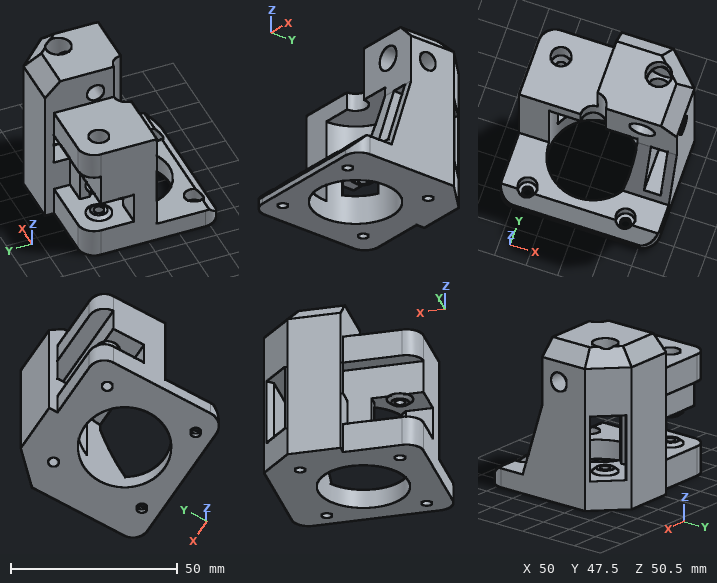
import cadquery as cq
import math

BORE_DIAMETER = 28.0
SHAFT_DIAMETER = 8.0
BORE_TOP = 33.05
SCREW_OFFSET = 15.5
SCREW_DIAMETER = 3.2

HALF_WIDTH = 23.55
CORNER_RADIUS = 5.25
FRONT_Y = -21.05
BLOCK_REACH = 26.45
BLOCK_CORNER_CHAMFER = 10.0
TOP_CHAMFER = 5.0

BASE_TOP = 6.15
COLUMN_TOP = 38.9
BLOCK_TOP = 50.5
FRONT_CHAMFER = 4.0

POCKET_FLOOR = 9.45
LEFT_POCKET_TOP = 19.7
RIGHT_POCKET_TOP = 30.15
POCKET_SIZE = 16.05
DIAGONAL_SLOT_WIDTH = 10.9
BOSS_BASE_DIAMETER = 8.0
BOSS_TIP_DIAMETER = 5.25
BOSS_HEIGHT = 1.05
SLOT_WIDTH = 5.25

WEDGE_DEPTH = 7.45

HEAD_DIAMETER = 6.0
HEAD_SEAT = 2.0
ACCESS_DIAMETER = 6.2
ACCESS_CONE_TOP = 31.8

PASSAGE_DIAMETER = 8.0
PASSAGE_Z = 42.35
PASSAGE_END_Y = 19.7
SIDE_HOLE_DIAMETER = 5.6
SIDE_HOLE_Y = 9.95
SIDE_HOLE_END_X = 20.2
OUTER_HOLE_DIAMETER = 6.0
OUTER_HOLE_Y = 6.45
OUTER_HOLE_Z = 39.0
OUTER_HOLE_END_X = 19.95

SLOT_START = HALF_WIDTH - SLOT_WIDTH
POCKET_NEAR = HALF_WIDTH - POCKET_SIZE


def box(x0, x1, y0, y1, z0, z1):
    return cq.Workplane("XY").box(x1 - x0, y1 - y0, z1 - z0, centered=False).translate((x0, y0, z0))


def cylinder(diameter, x, y, z0, z1):
    return cq.Workplane("XY", origin=(x, y, z0)).circle(diameter / 2).extrude(z1 - z0)


def cone(x, y, z0, diameter0, z1, diameter1):
    lower = cq.Workplane("XY", origin=(x, y, z0)).circle(diameter0 / 2)
    return lower.workplane(offset=z1 - z0).circle(diameter1 / 2).loft(ruled=True)


def make_base():
    """Motor flange with rounded corners and a bevelled front edge."""
    base = box(-HALF_WIDTH, BLOCK_REACH, FRONT_Y, 0, 0, BASE_TOP)
    base = base.edges("|Z and <Y").fillet(CORNER_RADIUS)
    bevel = (
        cq.Workplane("YZ", origin=(-HALF_WIDTH, 0, 0))
        .polyline([
            (FRONT_Y, BASE_TOP),
            (FRONT_Y + FRONT_CHAMFER, BASE_TOP),
            (FRONT_Y, BASE_TOP - FRONT_CHAMFER),
        ])
        .close()
        .extrude(HALF_WIDTH + BLOCK_REACH)
    )
    return base.cut(bevel)


def make_column():
    """Lower column at -X with a rounded rear corner."""
    column = box(-HALF_WIDTH, 0, 0, HALF_WIDTH, 0, COLUMN_TOP)
    return column.edges("|Z and <X and >Y").fillet(CORNER_RADIUS)


def make_block():
    """Tall block at +X with a cut rear corner and bevelled outer top edges."""
    block = box(0, BLOCK_REACH, 0, BLOCK_REACH, 0, BLOCK_TOP)
    block = block.edges("|Z and >X and >Y").chamfer(BLOCK_CORNER_CHAMFER)
    outer_edges = block.faces(">Z").edges(">X or >Y or (not (|X or |Y))")
    return outer_edges.chamfer(TOP_CHAMFER)


def make_rib():
    """Sloping rib that braces the block against the base."""
    return (
        cq.Workplane("YZ")
        .polyline([(0, BASE_TOP), (-WEDGE_DEPTH, BASE_TOP), (0, RIGHT_POCKET_TOP)])
        .close()
        .extrude(BLOCK_REACH)
    )


def make_pocket(side, top):
    """Screw pocket on one side (-1 or +1): a square room joined to a diagonal slot."""
    height = top - POCKET_FLOOR
    center = POCKET_NEAR + POCKET_SIZE / 2
    room = (
        cq.Workplane("XY", origin=(side * center, center, POCKET_FLOOR))
        .rect(POCKET_SIZE, POCKET_SIZE)
        .extrude(height)
    )
    slot_length = BLOCK_REACH * math.sqrt(2)
    slot = (
        cq.Workplane("XY")
        .rect(slot_length, DIAGONAL_SLOT_WIDTH)
        .extrude(height)
        .translate((slot_length / 2, 0, POCKET_FLOOR))
        .rotate((0, 0, 0), (0, 0, 1), 90 - side * 45)
    )
    return room.union(slot)


def make_bosses(side, top):
    """Pair of conical bosses around the screw, on the floor and the ceiling of a pocket."""
    x = side * SCREW_OFFSET
    tip = POCKET_FLOOR + BOSS_HEIGHT
    lower = cone(x, SCREW_OFFSET, POCKET_FLOOR, BOSS_BASE_DIAMETER, tip, BOSS_TIP_DIAMETER)
    upper = cone(x, SCREW_OFFSET, top - BOSS_HEIGHT, BOSS_TIP_DIAMETER, top, BOSS_BASE_DIAMETER)
    return lower.union(upper)


def cut_side_slots(part):
    """Slots running in from the front of the rib and from the outer side of the column."""
    rib_slot = box(SLOT_START, HALF_WIDTH, -WEDGE_DEPTH, POCKET_NEAR, POCKET_FLOOR, RIGHT_POCKET_TOP)
    low_strip = box(-HALF_WIDTH, 0, SLOT_START, HALF_WIDTH, POCKET_FLOOR, LEFT_POCKET_TOP)
    high_strip = box(-HALF_WIDTH, POCKET_NEAR, SLOT_START, HALF_WIDTH, LEFT_POCKET_TOP, RIGHT_POCKET_TOP)
    return part.cut(rib_slot).cut(low_strip).cut(high_strip)


def cut_screw_holes(part):
    """Four motor screws: sunk heads in front, deep tapered driver access at the rear."""
    for side in (-1, 1):
        x = side * SCREW_OFFSET
        for y in (-SCREW_OFFSET, SCREW_OFFSET):
            part = part.cut(cylinder(SCREW_DIAMETER, x, y, 0, PASSAGE_Z))
        part = part.cut(cylinder(HEAD_DIAMETER, x, -SCREW_OFFSET, HEAD_SEAT, BASE_TOP))
        access_top = PASSAGE_Z if side > 0 else COLUMN_TOP
        taper = (ACCESS_DIAMETER - SCREW_DIAMETER) / 2
        part = part.cut(cylinder(ACCESS_DIAMETER, x, SCREW_OFFSET, ACCESS_CONE_TOP, access_top))
        part = part.cut(
            cone(x, SCREW_OFFSET, ACCESS_CONE_TOP - taper, SCREW_DIAMETER, ACCESS_CONE_TOP, ACCESS_DIAMETER)
        )
    return part


def cut_block_passages(part):
    """Elbow from the front face to the top, plus cross holes from either side of the block."""
    front = (
        cq.Workplane("XZ", origin=(SCREW_OFFSET, 0, PASSAGE_Z))
        .circle(PASSAGE_DIAMETER / 2)
        .extrude(-PASSAGE_END_Y)
    )
    riser = cylinder(PASSAGE_DIAMETER, SCREW_OFFSET, SCREW_OFFSET, PASSAGE_Z, BLOCK_TOP)
    inner_side = (
        cq.Workplane("YZ", origin=(0, SIDE_HOLE_Y, PASSAGE_Z))
        .circle(SIDE_HOLE_DIAMETER / 2)
        .extrude(SIDE_HOLE_END_X)
    )
    outer_side = (
        cq.Workplane("YZ", origin=(OUTER_HOLE_END_X, OUTER_HOLE_Y, OUTER_HOLE_Z))
        .circle(OUTER_HOLE_DIAMETER / 2)
        .extrude(BLOCK_REACH - OUTER_HOLE_END_X)
    )
    return part.cut(front).cut(riser).cut(inner_side).cut(outer_side)


result = make_base().union(make_column()).union(make_block()).union(make_rib())
result = result.cut(cylinder(BORE_DIAMETER, 0, 0, 0, BORE_TOP))
result = result.cut(cylinder(SHAFT_DIAMETER, 0, 0, BORE_TOP, BLOCK_TOP))
result = cut_side_slots(result)
for pocket_side, pocket_top in ((-1, LEFT_POCKET_TOP), (1, RIGHT_POCKET_TOP)):
    result = result.cut(make_pocket(pocket_side, pocket_top))
    result = result.union(make_bosses(pocket_side, pocket_top))
result = cut_screw_holes(result)
result = cut_block_passages(result)